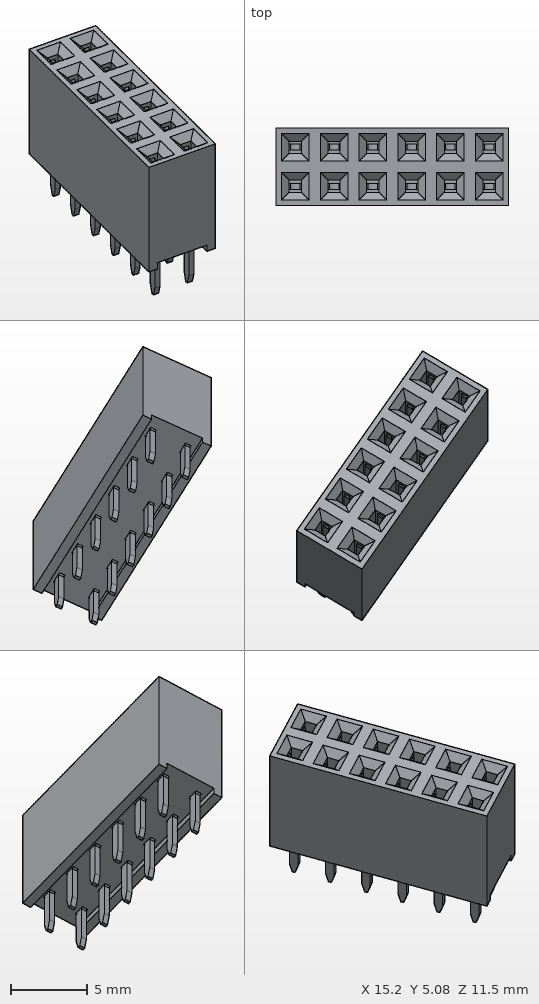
import cadquery as cq
import math

columns = 6
rows = 2
pitch = 2.54

housing_length = columns * pitch
housing_width = rows * pitch
housing_height = 8.5
foot_width = 0.65
channel_height = 0.5

funnel_opening = 1.8
shaft_width = 0.8
funnel_depth = (funnel_opening - shaft_width) / 2
shaft_floor_z = 3.0

contact_thickness = 0.4
contact_outward_shift = 0.02
pin_width = 0.6
pin_length = 3.0
tip_width = 0.2
tip_length = 0.7
shoulder_flare = 0.1
fork_gap = 0.62
fork_lead_in_height = 0.17
fork_recess = 0.32
fork_top_z = housing_height - funnel_depth - fork_recess
fork_web_height = 0.2
fork_web_radius = 0.45


def make_housing():
    """Block with a channel along the underside that leaves two feet."""
    block = cq.Workplane("XY").box(
        housing_length, housing_width, housing_height, centered=(True, True, False)
    )
    channel = cq.Workplane("XY").box(
        housing_length, housing_width - 2 * foot_width, channel_height, centered=(True, True, False)
    )
    return block.cut(channel)


def make_socket():
    """Cavity of one socket, centred on the Z axis."""
    funnel = (
        cq.Workplane("XY", origin=(0, 0, housing_height))
        .rect(funnel_opening, funnel_opening)
        .workplane(offset=-funnel_depth)
        .rect(shaft_width, shaft_width)
        .loft(ruled=True)
    )
    shaft_height = housing_height - funnel_depth - shaft_floor_z
    shaft = (
        cq.Workplane("XY", origin=(0, 0, shaft_floor_z))
        .rect(shaft_width, shaft_width)
        .extrude(shaft_height)
    )
    return funnel.union(shaft)


def make_fork():
    """Fork lining the shaft: two arms with sloped tops, joined by a web with a hollow top."""
    half_shaft = shaft_width / 2
    half_gap = fork_gap / 2
    web_z = shaft_floor_z + fork_web_height
    arc_rise = fork_web_radius - math.sqrt(fork_web_radius**2 - half_gap**2)
    arc_end_z = web_z + arc_rise
    lead_in_z = fork_top_z - fork_lead_in_height
    return (
        cq.Workplane("XZ")
        .moveTo(-half_shaft, shaft_floor_z)
        .lineTo(half_shaft, shaft_floor_z)
        .lineTo(half_shaft, fork_top_z)
        .lineTo(half_gap, lead_in_z)
        .lineTo(half_gap, arc_end_z)
        .threePointArc((0, web_z), (-half_gap, arc_end_z))
        .lineTo(-half_gap, lead_in_z)
        .lineTo(-half_shaft, fork_top_z)
        .close()
        .extrude(contact_thickness / 2, both=True)
    )


def make_pin():
    """Solder pin with a flared root at the channel roof and a tapered tip."""
    half_pin = pin_width / 2
    half_tip = tip_width / 2
    half_root = half_pin + shoulder_flare
    right_side = [
        (half_root, channel_height),
        (half_pin, channel_height - shoulder_flare),
        (half_pin, tip_length - pin_length),
        (half_tip, -pin_length),
    ]
    left_side = [(-x, z) for x, z in reversed(right_side)]
    return (
        cq.Workplane("XZ")
        .polyline(right_side + left_side)
        .close()
        .extrude(contact_thickness / 2, both=True)
    )


housing = make_housing()
socket = make_socket()
contact_shapes = [make_fork(), make_pin()]

socket_centres = [
    ((column - (columns - 1) / 2) * pitch, (row - (rows - 1) / 2) * pitch)
    for column in range(columns)
    for row in range(rows)
]

result = housing
for x, y in socket_centres:
    result = result.cut(socket.translate((x, y, 0)))

for x, y in socket_centres:
    outward = contact_outward_shift if y > 0 else -contact_outward_shift
    for shape in contact_shapes:
        result = result.union(shape.translate((x, y + outward, 0)))